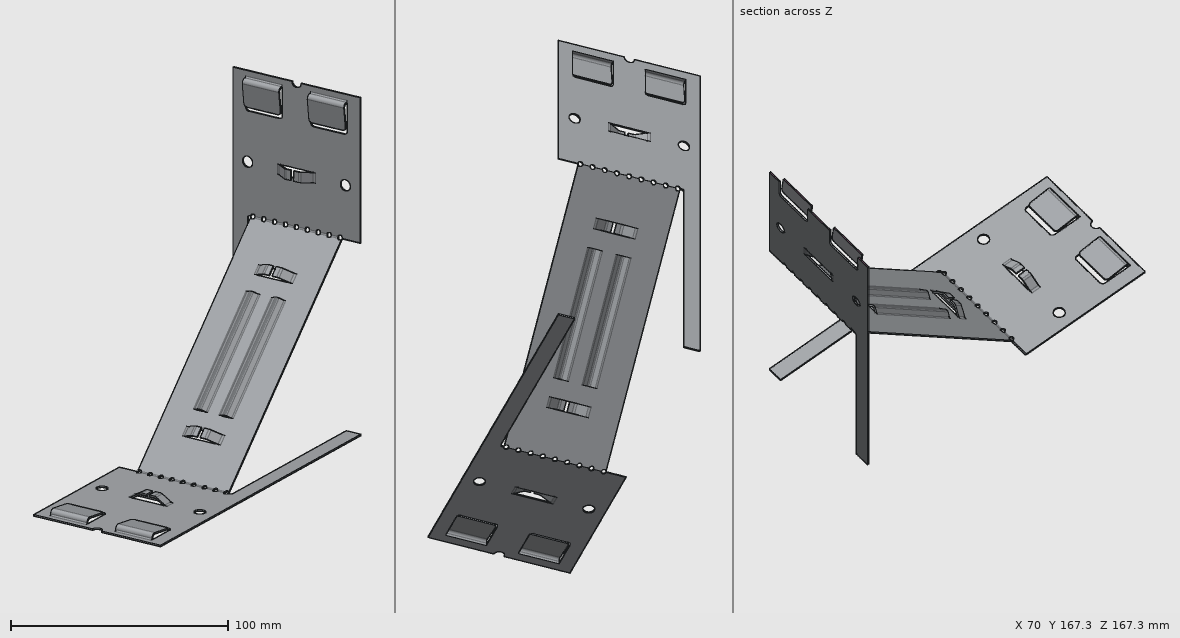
import cadquery as cq
import math


THICKNESS = 0.8
WIDTH = 70.0
LEG_LENGTH = 167.3
PANEL_LENGTH = 71.6
HINGE = LEG_LENGTH - PANEL_LENGTH
STRIP_WIDTH = 8.0
CUT = 2 * THICKNESS

BRACE_ANGLE = 45
BRACE_WIDTH = 50.0
BEND_RADIUS = 1.0
BEND_LAP = 2 * BEND_RADIUS
MITRE = THICKNESS * math.tan(math.radians(BRACE_ANGLE / 2))
PERFORATION_DIAMETER = 2.3
PERFORATION_ROW = 48.0
PERFORATION_COUNT = 9

HOLE_DIAMETER = 5.5
HOLE_FROM_END = 45.0
HOLE_FROM_SIDE = 8.0
NOTCH_RADIUS = 2.5

HOOK_WIDTH = 20.0
HOOK_SPACING = 35.8
WINDOW_START = 2.8
WINDOW_END = 19.9
WINDOW_CORNER = 1.7
HOOK_ROOT_RADIUS = 0.7
HOOK_LEG_START = WINDOW_START + HOOK_ROOT_RADIUS
HOOK_TIP = 17.5
HOOK_TIP_HEIGHT = 2.2
HOOK_OUTER_RADIUS = 2.2
HOOK_HEIGHT = THICKNESS + HOOK_ROOT_RADIUS + HOOK_OUTER_RADIUS
HOOK_TIP_CORNER = 1.7

BRIDGE_WIDTH = 5.0
BRIDGE_HALF_LENGTH = 10.9
BRIDGE_FOOT = 9.9
BRIDGE_SHOULDER = 4.0
BRIDGE_RISE = 3.5
BRIDGE_BEND_RADIUS = 2.3
BRIDGE_GAP = 1.7
BRACE_BRIDGE_OFFSET = 42.5

RIB_LENGTH = 62.0
RIB_SPACING = 14.0
RIB_HALF_WIDTH = 4.4
RIB_FOOT = 3.5
RIB_SHOULDER = 0.7
RIB_RISE = 1.8
RIB_BEND_RADIUS = 1.3


def raised_strip(half_span, foot, shoulder, rise, length, bend_radius):
    """Trapezoidal strip across X, pressed up from a sheet lying on z = 0 and extruded along Y."""
    slope = math.atan2(rise, foot - shoulder)
    shift = THICKNESS * math.tan(slope / 2)
    top = THICKNESS + rise
    right_side = [
        (shoulder, top),
        (foot, THICKNESS),
        (half_span, THICKNESS),
        (half_span, 0),
        (foot - shift, 0),
        (shoulder - shift, rise),
    ]
    left_side = [(-x, z) for x, z in reversed(right_side)]
    strip = (
        cq.Workplane("XZ")
        .polyline(right_side + left_side)
        .close()
        .extrude(length / 2, both=True)
    )
    inside = (half_span + foot) / 2
    bends = cq.selectors.BoxSelector((-inside, -length, -top), (inside, length, 2 * top))
    return strip.edges("|Y").edges(bends).fillet(bend_radius)


def sheet_cutter(x_size, y_size):
    return cq.Workplane("XY").box(x_size, y_size, 2 * CUT)


def add_bridge(sheet, y):
    """Replace a patch of sheet by a bridge whose crown is split in the middle."""
    bridge = raised_strip(
        BRIDGE_HALF_LENGTH, BRIDGE_FOOT, BRIDGE_SHOULDER, BRIDGE_RISE, BRIDGE_WIDTH, BRIDGE_BEND_RADIUS
    )
    split = cq.Workplane("XY").box(BRIDGE_GAP, 2 * BRIDGE_WIDTH, 4 * BRIDGE_RISE)
    window = sheet_cutter(2 * BRIDGE_HALF_LENGTH, BRIDGE_WIDTH)
    return sheet.cut(window.translate((0, y, 0))).union(bridge.cut(split).translate((0, y, 0)))


def add_rib(sheet, x):
    """Replace a long patch of sheet by a raised rib that is open at both ends."""
    rib = raised_strip(RIB_HALF_WIDTH, RIB_FOOT, RIB_SHOULDER, RIB_RISE, RIB_LENGTH, RIB_BEND_RADIUS)
    window = sheet_cutter(2 * RIB_HALF_WIDTH, RIB_LENGTH)
    return sheet.cut(window.translate((x, 0, 0))).union(rib.translate((x, 0, 0)))


def hook():
    """Hook with its root at the +Y end: up from the sheet, over, and sloping back down to the tip."""
    inner_radius = HOOK_OUTER_RADIUS - THICKNESS
    arc_end = HOOK_LEG_START + HOOK_OUTER_RADIUS
    diagonal = math.sqrt(0.5)
    arc_centre = (-arc_end, HOOK_HEIGHT - HOOK_OUTER_RADIUS)

    def arc_middle(radius):
        return arc_centre[0] + radius * diagonal, arc_centre[1] + radius * diagonal

    body = (
        cq.Workplane("YZ")
        .moveTo(-WINDOW_START, 0)
        .lineTo(-WINDOW_START, THICKNESS)
        .radiusArc((-HOOK_LEG_START, arc_centre[1]), HOOK_ROOT_RADIUS)
        .threePointArc(arc_middle(HOOK_OUTER_RADIUS), (-arc_end, HOOK_HEIGHT))
        .lineTo(-HOOK_TIP, HOOK_TIP_HEIGHT)
        .lineTo(-HOOK_TIP, HOOK_TIP_HEIGHT - THICKNESS)
        .lineTo(-arc_end, HOOK_HEIGHT - THICKNESS)
        .threePointArc(arc_middle(inner_radius), (-HOOK_LEG_START - THICKNESS, arc_centre[1]))
        .lineTo(-HOOK_LEG_START - THICKNESS, 0)
        .close()
        .extrude(HOOK_WIDTH / 2, both=True)
    )
    return body.faces("<Y").edges("|Z").fillet(HOOK_TIP_CORNER)


def hook_window():
    length = WINDOW_END - WINDOW_START
    window = sheet_cutter(HOOK_WIDTH, length).edges("|Z and <Y").fillet(WINDOW_CORNER)
    return window.translate((0, -WINDOW_START - length / 2, 0))


def flat_leg():
    """Leg lying on z = 0 with its corner end at y = 0 and its strip on the -X side."""
    panel = cq.Workplane("XY").box(WIDTH, PANEL_LENGTH, THICKNESS, centered=(True, False, False))
    strip = cq.Workplane("XY").box(STRIP_WIDTH, LEG_LENGTH, THICKNESS, centered=False)
    leg = panel.translate((0, HINGE, 0)).union(strip.translate((-WIDTH / 2, 0, 0)))

    gap_left = STRIP_WIDTH - WIDTH / 2
    gap_width = -BRACE_WIDTH / 2 - gap_left
    inner_corner = cq.selectors.NearestToPointSelector((gap_left, HINGE, THICKNESS / 2))
    leg = leg.edges("|Z").edges(inner_corner).fillet(gap_width / 2)

    hole_x = WIDTH / 2 - HOLE_FROM_SIDE
    holes = (
        cq.Workplane("XY")
        .pushPoints([(side * hole_x, LEG_LENGTH - HOLE_FROM_END) for side in (-1, 1)])
        .circle(HOLE_DIAMETER / 2)
        .extrude(CUT)
    )
    notch = cq.Workplane("XY").center(0, LEG_LENGTH).circle(NOTCH_RADIUS).extrude(CUT)
    leg = leg.cut(holes).cut(notch)

    leg = add_bridge(leg, LEG_LENGTH - HOLE_FROM_END)
    for side in (-1, 1):
        position = (side * HOOK_SPACING / 2, LEG_LENGTH, 0)
        leg = leg.cut(hook_window().translate(position)).union(hook().translate(position))
    return leg


def brace():
    """Sloping sheet between the two bends, with ends that bend over onto the legs."""
    sheet = (
        cq.Workplane("YZ")
        .polyline(
            [
                (0, HINGE + BEND_LAP),
                (-THICKNESS, HINGE + BEND_LAP),
                (-THICKNESS, HINGE),
                (-HINGE, THICKNESS),
                (-HINGE - BEND_LAP, THICKNESS),
                (-HINGE - BEND_LAP, 0),
                (-HINGE + MITRE, 0),
                (0, HINGE - MITRE),
            ]
        )
        .close()
        .extrude(BRACE_WIDTH / 2, both=True)
    )
    for y, z in [(-THICKNESS, HINGE), (-HINGE, THICKNESS)]:
        sheet = sheet.edges(cq.selectors.NearestToPointSelector((0, y, z))).fillet(BEND_RADIUS)

    back_middle = (HINGE - MITRE) / 2
    flat = sheet.translate((0, back_middle, -back_middle)).rotate((0, 0, 0), (1, 0, 0), -BRACE_ANGLE)
    for end in (-1, 1):
        flat = add_bridge(flat, end * BRACE_BRIDGE_OFFSET)
    for side in (-1, 1):
        flat = add_rib(flat, side * RIB_SPACING / 2)
    return flat.rotate((0, 0, 0), (1, 0, 0), BRACE_ANGLE).translate((0, -back_middle, back_middle))


def wall_bend():
    """Wedge of the wall bend, running on past the brace to the +X edge of the wall."""
    end_offset = THICKNESS * math.sin(math.radians(BRACE_ANGLE))
    bend = (
        cq.Workplane("YZ")
        .polyline(
            [
                (0, HINGE),
                (-THICKNESS, HINGE),
                (-THICKNESS + end_offset, HINGE - end_offset),
                (0, HINGE - MITRE),
            ]
        )
        .close()
        .extrude((WIDTH + BRACE_WIDTH) / 2)
    )
    return bend.translate((-BRACE_WIDTH / 2, 0, 0))


def turn_wall_to_base(wall_feature):
    """Half turn that carries the wall onto the base."""
    return wall_feature.rotate((0, 0, 0), (0, 1, -1), 180)


def wall_perforations():
    """Row of holes along the wall bend, square to the bisector of the bend."""
    pitch = PERFORATION_ROW / (PERFORATION_COUNT - 1)
    centres = [(i * pitch - PERFORATION_ROW / 2, 0) for i in range(PERFORATION_COUNT)]
    row = cq.Workplane("XY").pushPoints(centres).circle(PERFORATION_DIAMETER / 2)
    row = row.extrude(CUT, both=True)
    bisector_tilt = 90 - BRACE_ANGLE / 2
    return row.rotate((0, 0, 0), (1, 0, 0), bisector_tilt).translate((0, -THICKNESS / 2, HINGE))


wall = flat_leg().rotate((0, 0, 0), (1, 0, 0), 90).union(wall_bend())
perforations = wall_perforations()
result = wall.union(turn_wall_to_base(wall)).union(brace())
result = result.cut(perforations).cut(turn_wall_to_base(perforations))